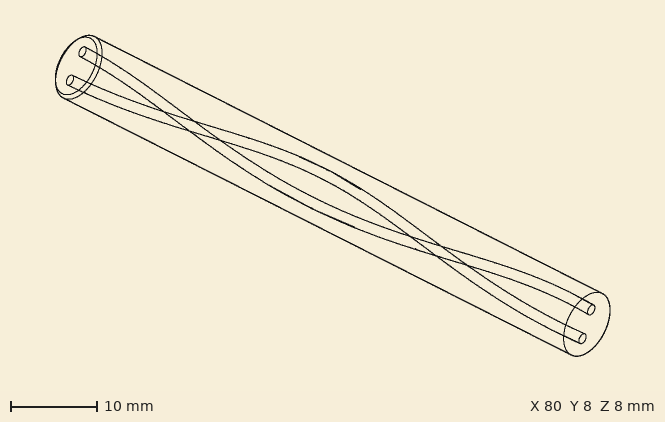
import cadquery as cq
import math

rod_length = 80.0
rod_diameter = 8.0
end_chamfer = 0.4

channel_diameter = 1.26
channel_circle_diameter = 3.6
channel_start_angle = 53.13
channel_count = 2
helix_angle = 18.0
helix_lead = math.pi * rod_diameter / math.tan(math.radians(helix_angle))
channel_twist = 360.0 * rod_length / helix_lead


def start_plane():
    """YZ plane at the -X end of the rod, centred on its axis."""
    return cq.Workplane("YZ", origin=(-rod_length / 2, 0, 0))


def rod():
    """Round bar with its -X end chamfered."""
    bar = start_plane().circle(rod_diameter / 2).extrude(rod_length)
    return bar.faces("<X").chamfer(end_chamfer)


def helical_channels():
    """Evenly spaced round channels that twist about the axis through the whole rod."""
    return (
        start_plane()
        .polarArray(channel_circle_diameter / 2, channel_start_angle, 360, channel_count)
        .circle(channel_diameter / 2)
        .twistExtrude(rod_length, channel_twist)
    )


result = rod().cut(helical_channels())